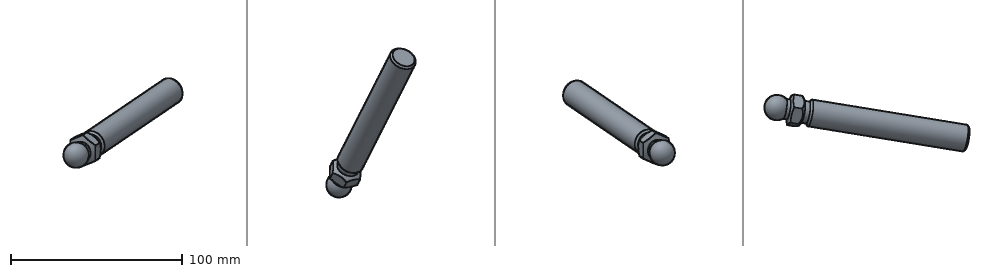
import cadquery as cq
import math

total_length = 122.0

ball_radius = 15.0 / 2
ball_neck_radius = 12.0 / 2

hex_across_flats = 17.0
hex_across_corners = hex_across_flats / math.cos(math.radians(30))
front_cone_angle = 20.0
front_cone_start = 14.3
hex_corner_end = 20.5
rear_chamfer_end = 21.8
rear_chamfer_radius = 8.4

undercut_radius = 13.2 / 2
undercut_start = 22.9

shank_radius = 16.0 / 2
shank_start = 26.0
shank_front_chamfer = shank_radius - undercut_radius
shank_end_chamfer = 1.2


def turned_profile_body():
    """Ball, necks and shank as one solid of revolution, with a cone-fronted disc as collar blank."""
    ball_neck_start = ball_radius + math.sqrt(ball_radius**2 - ball_neck_radius**2)
    corner_radius = hex_across_corners / 2
    cone_angle = math.radians(front_cone_angle)
    cone_depth = (corner_radius - ball_neck_radius) * math.tan(cone_angle)

    return (
        cq.Workplane("XY")
        .moveTo(0, 0)
        .threePointArc((ball_radius, ball_radius), (ball_neck_radius, ball_neck_start))
        .lineTo(ball_neck_radius, front_cone_start)
        .lineTo(corner_radius, front_cone_start + cone_depth)
        .lineTo(corner_radius, hex_corner_end)
        .lineTo(rear_chamfer_radius, rear_chamfer_end)
        .lineTo(undercut_radius, undercut_start)
        .lineTo(undercut_radius, shank_start)
        .lineTo(shank_radius, shank_start + shank_front_chamfer)
        .lineTo(shank_radius, total_length - shank_end_chamfer)
        .lineTo(shank_radius - shank_end_chamfer, total_length)
        .lineTo(0, total_length)
        .close()
        .revolve(360, (0, 0), (0, 1))
    )


def hexagonal_bar():
    """Full-length hexagonal envelope that cuts the flats on the collar."""
    return (
        cq.Workplane("XZ")
        .transformed(rotate=(0, 0, 90))
        .polygon(6, hex_across_corners)
        .extrude(-total_length)
    )


result = turned_profile_body().intersect(hexagonal_bar())